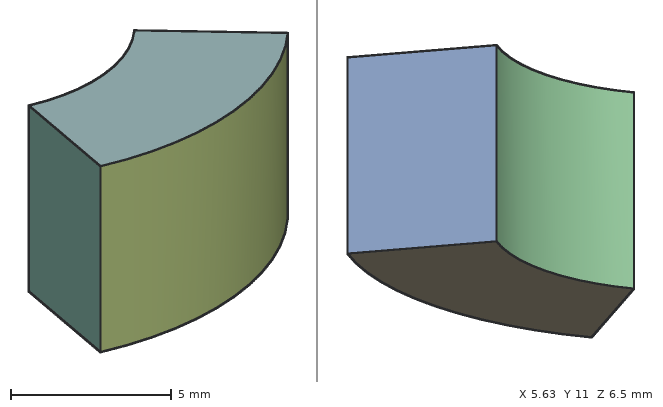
import cadquery as cq
import math

outer_radius = 11.0
inner_radius = 6.2
height = 6.5
segment_angle = 60.0


def ring_point(radius, angle):
    """Point at the given radius and angle (degrees) from the ring axis."""
    return (
        radius * math.cos(math.radians(angle)),
        radius * math.sin(math.radians(angle)),
    )


def ring_segment():
    """Solid bounded by two concentric arcs and two radial end faces."""
    half_angle = segment_angle / 2
    return (
        cq.Workplane("XY")
        .moveTo(*ring_point(inner_radius, -half_angle))
        .lineTo(*ring_point(outer_radius, -half_angle))
        .threePointArc(ring_point(outer_radius, 0), ring_point(outer_radius, half_angle))
        .lineTo(*ring_point(inner_radius, half_angle))
        .threePointArc(ring_point(inner_radius, 0), ring_point(inner_radius, -half_angle))
        .close()
        .extrude(height)
    )


result = ring_segment()